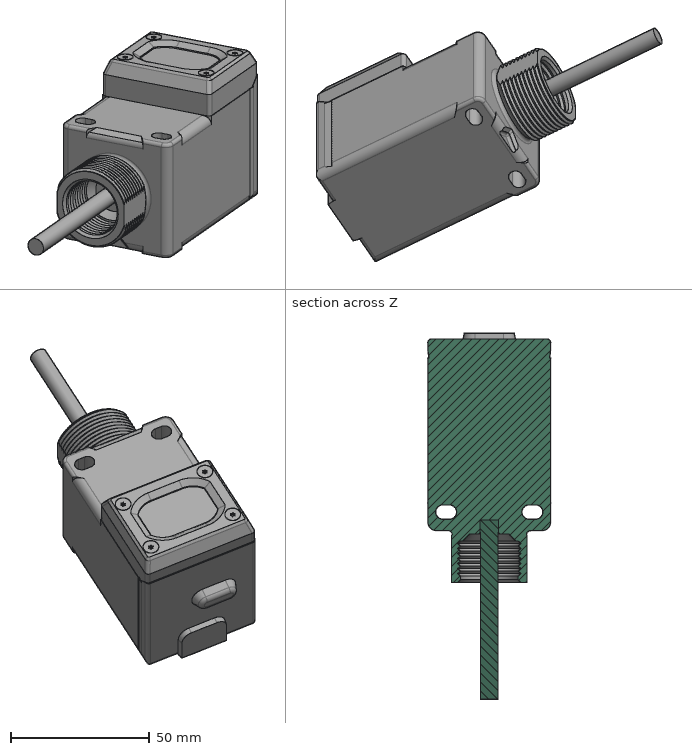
import cadquery as cq
import math


width = 44.57
block_height = width
block_depth = 69.5
front_corner_radius = 3.2
back_corner_radius = 1.5
edge_radius = 1.3
half_width = width / 2

relief_radius = 3.3
front_relief_half_face = 11.6
front_relief_half_inner = 9.1
front_bevel_depth = 1.3
front_bevel_inset = 0.85
side_relief_start_face = 10.1
side_relief_start_inner = 13.0
side_relief_end_face = 32.7
side_relief_end_inner = 31.5

head_width = 44.3
head_front = 32.05
head_back = 69.05
head_top = 58.06
head_shoulder = 52.9
head_rim = 57.2
head_side_inset = 1.4
head_side_top_inset = 2.4
head_end_inset = 2.45
head_end_top_inset = 3.35
head_corner_radius = 1.4
head_top_corner_radius = 0.6
head_mid_y = (head_front + head_back) / 2

window_width = 32.2
window_height = 23.2
window_corner_radius = 11.35
window_corner_center_x = 6.35
window_wall_inset = 2.55
window_depth = 1.5
lens_step = 0.5

screw_radius = 2.85
screw_spacing_x = 33.2
screw_spacing_y = 22.2
screw_sink = 0.15
screw_socket_radius = 0.95
screw_socket_inner_radius = 0.5
screw_socket_points = 6
screw_socket_depth = 1.0

lid_top = 47.9
lid_top_thickness = 1.5
lid_ramp_front = 64.2
lid_groove_front = 62.6
lid_groove_back = 65.4
lid_groove_depth = 0.4

back_end = 73.6
button_left = -9.6
button_right = -0.2
button_z = 28.3
button_radius = 4.2
button_draft = 22
button_rounding = 2.0
lug_half_width = 9.5
lug_height = 13.0
lug_corner_radius = 4.3
lug_projection = 2.05
lug_draft = 12

slot_length = 7.5
slot_width = 5.1
slot_spacing = 31.2
slot_y = 6.8

notch_apex_z = 7.4
notch_apex_radius = 1.2
notch_wall_radius = 0.8
notch_depth = 2.4
notch_bevel = 1.2
notch_bevel_angle = 45
notch_floor_radius = 1.1

axis_z = block_height / 2
neck_end = 18.7
collar_radius = 14.9
collar_fillet_radius = 1.4
collar_length = 2.4
neck_flat = 13.7
thread_pitch = 1.5875
thread_crest_radius = 15.1
thread_root_radius = 14.3
inner_thread_pitch = 25.4 / 14
inner_thread_minor_radius = 10.4
inner_thread_major_radius = 11.4
bore_depth = 15.0
bore_cone_depth = 2.5
bore_cone_radius = 9.6
bore_floor_radius = 7.1

cable_radius = 3.175
cable_end = 61.01
cable_insertion = 5.0
cable_lead_in = 0.65

overcut = 1.0


def block():
    """Square block with rounded edges, left square where the head sits on it."""
    body = cq.Workplane("XY").box(width, block_depth, block_height, centered=(True, False, False))
    body = body.edges("|Z and <Y").fillet(front_corner_radius)
    body = body.edges("|Z and >Y").fillet(back_corner_radius)
    body = body.faces("<Z or >Z").edges().fillet(edge_radius)
    square_edge_length = lid_ramp_front - side_relief_end_inner
    square_edge_base = (0, side_relief_end_inner, block_height - 2 * edge_radius)
    square_edges = cq.Workplane("XY", origin=square_edge_base).box(
        width, square_edge_length, 2 * edge_radius, centered=(True, False, False)
    )
    return body.union(square_edges)


def edge_relief(face_start, face_end, inner_start, inner_end, beveled=False):
    """Cutter that rounds an edge on the X axis; the material lies at +Y and -Z.

    The ends are slanted, so the relief is shorter at its inner side than at the face.
    A beveled relief has a flat facet above a shorter curve.
    """
    r = relief_radius
    arc_inset = r * (1 - math.sqrt(0.5))
    length = face_end - face_start
    start_slope = (inner_start - face_start) / r
    end_slope = (inner_end - face_end) / r
    section = (
        cq.Workplane("YZ", origin=(face_start - length, 0, 0))
        .moveTo(-overcut, overcut)
        .lineTo(r, overcut)
        .lineTo(r, 0)
    )
    if beveled:
        curve_drop = r - front_bevel_depth
        curve_radius = (front_bevel_inset**2 + curve_drop**2) / (2 * front_bevel_inset)
        section = section.lineTo(front_bevel_inset, -front_bevel_depth).radiusArc((0, -r), -curve_radius)
    else:
        section = section.threePointArc((arc_inset, -arc_inset), (0, -r))
    rounding = section.lineTo(-overcut, -r).close().extrude(3 * length)
    plan = (
        cq.Workplane("XY", origin=(0, 0, -2 * r))
        .polyline([
            (face_start - overcut * start_slope, -overcut),
            (inner_start, r),
            (inner_end, r),
            (face_end - overcut * end_slope, -overcut),
        ])
        .close()
        .extrude(4 * r)
    )
    return rounding.intersect(plan)


def edge_reliefs():
    """Reliefs of the front edges and of the long side edges."""
    front_ends = (
        -front_relief_half_face, front_relief_half_face,
        -front_relief_half_inner, front_relief_half_inner,
    )
    upper_front = edge_relief(*front_ends, beveled=True)
    lower_front = edge_relief(*front_ends).mirror("XY")
    upper_side = edge_relief(
        -side_relief_end_face, -side_relief_start_face,
        -side_relief_end_inner, -side_relief_start_inner,
    )
    lower_side_end = block_depth + overcut
    lower_side = edge_relief(
        -lower_side_end, -side_relief_start_face,
        -lower_side_end, -side_relief_start_inner,
    ).mirror("XY")
    cutters = [upper_front.translate((0, 0, block_height)), lower_front]
    for side, z in ((upper_side, block_height), (lower_side, 0)):
        left = side.rotate((0, 0, 0), (0, 0, 1), -90).translate((-half_width, 0, z))
        cutters += [left, left.mirror("YZ")]
    return cutters


def head_section(z, side_inset, end_inset, corner_radius):
    """Rounded rectangular section of the head at a height, drawn in from its outer faces."""
    return (
        cq.Sketch()
        .rect(head_width - 2 * side_inset, head_back - head_front - 2 * end_inset)
        .vertices()
        .fillet(corner_radius)
        .moved(cq.Location(cq.Vector(0, head_mid_y, z)))
    )


def head():
    """Lens head with sloping upper sides and rounded corners."""
    sections = [
        head_section(block_height, 0, 0, head_corner_radius),
        head_section(head_shoulder, 0, 0, head_corner_radius),
        head_section(head_rim, head_side_inset, head_end_inset, head_corner_radius),
        head_section(head_top, head_side_top_inset, head_end_top_inset, head_top_corner_radius),
    ]
    return cq.Workplane("XY").placeSketch(*sections).loft(ruled=True)


def window_outline(plane, inset):
    """Window outline: a rectangle whose corners are cut by large arcs."""
    x = window_width / 2 - inset
    y = window_height / 2 - inset
    radius = window_corner_radius - inset
    cx = window_corner_center_x
    cy = y - radius
    end_angle = math.acos((x - cx) / radius)
    mid_angle = (end_angle + math.pi / 2) / 2
    end_y = cy + radius * math.sin(end_angle)
    mid_x = cx + radius * math.cos(mid_angle)
    mid_y = cy + radius * math.sin(mid_angle)
    return (
        plane.moveTo(-cx, y)
        .lineTo(cx, y)
        .threePointArc((mid_x, mid_y), (x, end_y))
        .lineTo(x, -end_y)
        .threePointArc((mid_x, -mid_y), (cx, -y))
        .lineTo(-cx, -y)
        .threePointArc((-mid_x, -mid_y), (-x, -end_y))
        .lineTo(-x, end_y)
        .threePointArc((-mid_x, mid_y), (-cx, y))
        .close()
    )


def window():
    """Cutter of the lens recess, narrowing towards the lens."""
    top = window_outline(cq.Workplane("XY", origin=(0, head_mid_y, head_top)), 0)
    slope = window_outline(top.workplane(offset=-window_depth), window_wall_inset).loft(ruled=True)
    lens_plane = cq.Workplane("XY", origin=(0, head_mid_y, head_top - window_depth))
    return slope.union(window_outline(lens_plane, window_wall_inset).extrude(-lens_step))


def screws():
    """Cutter of the sunk screw heads with their star sockets."""
    star = []
    for i in range(2 * screw_socket_points):
        radius = screw_socket_radius if i % 2 == 0 else screw_socket_inner_radius
        angle = math.pi * i / screw_socket_points
        star.append((radius * math.cos(angle), radius * math.sin(angle)))
    head_recess = cq.Workplane("XY").circle(screw_radius).extrude(-screw_sink)
    socket = cq.Workplane("XY").polyline(star).close().extrude(-screw_socket_depth)
    screw = head_recess.union(socket).val()
    return (
        cq.Workplane("XY", origin=(0, head_mid_y, head_top))
        .rarray(screw_spacing_x, screw_spacing_y, 2, 2)
        .eachpoint(lambda place: screw.moved(place), combine=False)
    )


def lid_rim():
    """Upper rim of the lid, which ramps down along the sides of the head."""
    return (
        cq.Workplane("YZ", origin=(-half_width, 0, 0))
        .polyline([
            (lid_ramp_front, block_height - 2 * edge_radius),
            (lid_ramp_front, block_height),
            (block_depth - lid_top_thickness, lid_top),
            (block_depth, lid_top),
            (block_depth, block_height - 2 * edge_radius),
        ])
        .close()
        .extrude(width)
        .edges("|Z and >Y")
        .fillet(back_corner_radius)
    )


def lid_groove():
    """Cutter of the slanted groove along the lid joint on the left side of the block."""
    return (
        cq.Workplane("XY", origin=(0, 0, -overcut))
        .polyline([
            (-half_width, lid_groove_back),
            (-half_width - overcut, lid_groove_back),
            (-half_width - overcut, lid_groove_front),
            (-half_width + lid_groove_depth, lid_groove_front),
        ])
        .close()
        .extrude(block_height + overcut)
    )


def button():
    """Tapered oblong button on the back face."""
    return (
        cq.Workplane("XZ", origin=((button_left + button_right) / 2, block_depth, button_z))
        .slot2D(button_right - button_left + 2 * button_radius, 2 * button_radius)
        .extrude(block_depth - back_end, taper=button_draft)
        .faces(">Y")
        .edges()
        .fillet(button_rounding)
    )


def lug():
    """Low lug at the foot of the back face with rounded upper corners."""
    base = 2 * edge_radius
    return (
        cq.Workplane("XZ", origin=(0, block_depth - base, 0))
        .rect(2 * lug_half_width, 2 * lug_height)
        .extrude(-base - lug_projection)
        .edges("|Y")
        .fillet(lug_corner_radius)
        .faces(">Y")
        .edges()
        .chamfer(lug_projection, lug_projection * math.tan(math.radians(lug_draft)))
        .intersect(cq.Workplane("XY").box(width, 3 * block_depth, lug_height, centered=(True, True, False)))
    )


def mounting_slots():
    """Cutter of the two slots through the full height."""
    return (
        cq.Workplane("XY", origin=(0, slot_y, 0))
        .rarray(slot_spacing, 1, 2, 1)
        .slot2D(slot_length, slot_width)
        .extrude(block_height)
    )


def notch_prism(apex_z, apex_radius, depth, taper=0):
    """Pointed prism with a rounded apex, sunk into the front face."""
    foot_z = -2 * notch_depth
    half = apex_z - foot_z
    return (
        cq.Workplane("XZ")
        .polyline([(-half, foot_z), (0, apex_z), (half, foot_z)])
        .close()
        .extrude(-depth, taper=taper)
        .edges(">Z")
        .fillet(apex_radius)
    )


def foot_notch():
    """Cutter of the pointed notch at the foot of the front face, with a beveled rim."""
    wall_apex_z = notch_apex_z - notch_bevel * math.sqrt(2)
    pocket = notch_prism(wall_apex_z, notch_wall_radius, notch_depth)
    pocket = pocket.faces(">Y").edges().fillet(notch_floor_radius)
    return pocket.union(notch_prism(notch_apex_z, notch_apex_radius, notch_bevel, taper=notch_bevel_angle))


def revolve_about_axis(profile):
    """Revolve a half profile of (distance along -Y, radius) points about the cable axis."""
    turned = profile.close().revolve(360, (0, 0, 0), (1, 0, 0))
    return turned.rotate((0, 0, 0), (0, 0, 1), -90).translate((0, 0, axis_z))


def neck():
    """Waisted collar and threaded neck with two side flats."""
    profile = (
        cq.Workplane("XY")
        .moveTo(-overcut, 0)
        .lineTo(-overcut, collar_radius)
        .lineTo(0, collar_radius)
        .radiusArc((collar_fillet_radius, collar_radius - collar_fillet_radius), -collar_fillet_radius)
        .lineTo(collar_length, thread_root_radius)
    )
    turns = math.floor((neck_end - collar_length) / thread_pitch)
    for i in range(turns):
        start = collar_length + i * thread_pitch
        profile = profile.lineTo(start + thread_pitch / 2, thread_crest_radius)
        profile = profile.lineTo(start + thread_pitch, thread_root_radius)
    profile = profile.lineTo(neck_end, thread_root_radius).lineTo(neck_end, 0)
    body = revolve_about_axis(profile)
    side_cut_length = neck_end - collar_fillet_radius
    for side in (-1, 1):
        side_cut = cq.Workplane("XY").box(width, side_cut_length, width, centered=(True, False, True))
        body = body.cut(side_cut.translate((side * (neck_flat + half_width), -neck_end, axis_z)))
    return body


def neck_bore():
    """Cutter of the internally threaded bore with a conical bottom and the cable hole."""
    thread_end = neck_end - bore_depth
    floor = thread_end - bore_cone_depth
    chamfer = inner_thread_major_radius - inner_thread_minor_radius
    profile = (
        cq.Workplane("XY")
        .moveTo(floor - cable_insertion, 0)
        .lineTo(floor - cable_insertion, cable_radius)
        .lineTo(floor - cable_lead_in, cable_radius)
        .lineTo(floor, cable_radius + cable_lead_in)
        .lineTo(floor, bore_floor_radius)
        .lineTo(thread_end, bore_cone_radius)
        .lineTo(thread_end, inner_thread_minor_radius)
    )
    turns = math.floor((bore_depth - chamfer) / inner_thread_pitch)
    for i in range(turns):
        start = thread_end + i * inner_thread_pitch
        profile = profile.lineTo(start + inner_thread_pitch / 2, inner_thread_major_radius)
        profile = profile.lineTo(start + inner_thread_pitch, inner_thread_minor_radius)
    profile = (
        profile.lineTo(neck_end - chamfer, inner_thread_minor_radius)
        .lineTo(neck_end, inner_thread_major_radius)
        .lineTo(neck_end, 0)
    )
    return revolve_about_axis(profile)


def make_housing():
    body = block()
    for cutter in edge_reliefs():
        body = body.cut(cutter)
    groove = lid_groove()
    body = body.union(lid_rim()).cut(groove).cut(groove.mirror("YZ"))
    body = body.union(head()).cut(window()).cut(screws())
    body = body.union(button()).union(lug())
    body = body.cut(mounting_slots()).cut(foot_notch())
    return body.union(neck()).cut(neck_bore())


def make_cable():
    inner_end = neck_end - bore_depth - bore_cone_depth - cable_insertion
    return (
        cq.Workplane("XZ", origin=(0, -inner_end, axis_z))
        .circle(cable_radius)
        .extrude(cable_end - inner_end)
    )


housing = make_housing()
cable = make_cable()
result = cq.Compound.makeCompound([housing.val(), cable.val()])